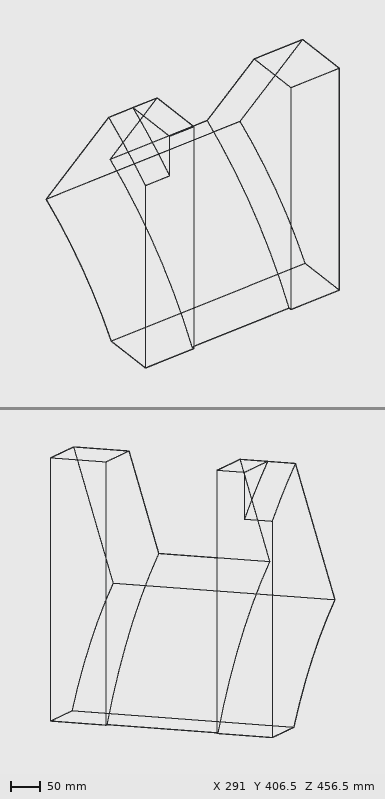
import cadquery as cq
import math

length = 291.0
width = 406.5
height = 456.5

nose_height = 187.0
top_front_x = 183.0
bottom_front_x = 190.5
underside_rise = 14.0

wall_thickness = width / 4
recess_depth = wall_thickness / 2
floor_front_x = 45.5
clearance = 45.5

chord = math.hypot(bottom_front_x, nose_height)
underside_radius = chord**2 / (8 * underside_rise) + underside_rise / 2
axis_distance = underside_radius - underside_rise
axis_x = bottom_front_x / 2 - axis_distance * nose_height / chord
axis_z = nose_height / 2 - axis_distance * bottom_front_x / chord


def front_face_height(x):
    """Height of the sloping front face at a given x."""
    return nose_height + (height - nose_height) * x / top_front_x


def cylinder(radius, y_start, thickness):
    """Solid cylinder about the shared axis, spanning y_start to y_start + thickness."""
    return (
        cq.Workplane("XZ", origin=(axis_x, y_start, axis_z))
        .circle(radius)
        .extrude(-thickness)
    )


def cut_outside_radius(radius, y_start, thickness):
    """Cutter that removes everything farther from the axis than radius."""
    block = cq.Workplane("XY").box(
        length + 2 * clearance, thickness, height + 2 * clearance, centered=False
    ).translate((-clearance, y_start, -clearance))
    return block.cut(cylinder(radius, y_start, thickness))


def make_body():
    """Full-width body with a sloping front and a concave underside."""
    body = (
        cq.Workplane("XZ")
        .polyline([
            (0, nose_height),
            (top_front_x, height),
            (length, height),
            (length, 0),
            (bottom_front_x, 0),
            (0, 0),
        ])
        .close()
        .extrude(-width)
    )
    return body.cut(cylinder(underside_radius, 0, width))


floor_radius = math.hypot(floor_front_x - axis_x, front_face_height(floor_front_x) - axis_z)
slot = cut_outside_radius(floor_radius, wall_thickness, width - 2 * wall_thickness)

recess_radius = math.hypot(top_front_x - axis_x, height - axis_z)
recess = cut_outside_radius(recess_radius, 0, recess_depth)

result = make_body().cut(slot).cut(recess)